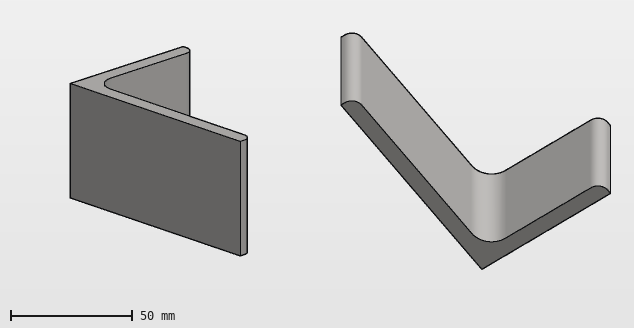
import cadquery as cq

long_leg = 100.0
short_leg = 65.0
thickness = 7.0
length = 50.0
root_radius = 10.0
toe_radius = 5.0


def leg(size_x, size_y):
    """Rectangular leg with its outer corner at the origin."""
    return cq.Workplane("XY").box(size_x, size_y, length, centered=False)


def vertical_edge(x, y):
    """Selector for the full-length edge standing at (x, y)."""
    return cq.selectors.NearestToPointSelector((x, y, length / 2))


angle = leg(long_leg, thickness).union(leg(thickness, short_leg))

angle = angle.edges(vertical_edge(thickness, thickness)).fillet(root_radius)

for toe_x, toe_y in [(long_leg, thickness), (thickness, short_leg)]:
    angle = angle.edges(vertical_edge(toe_x, toe_y)).fillet(toe_radius)

result = angle